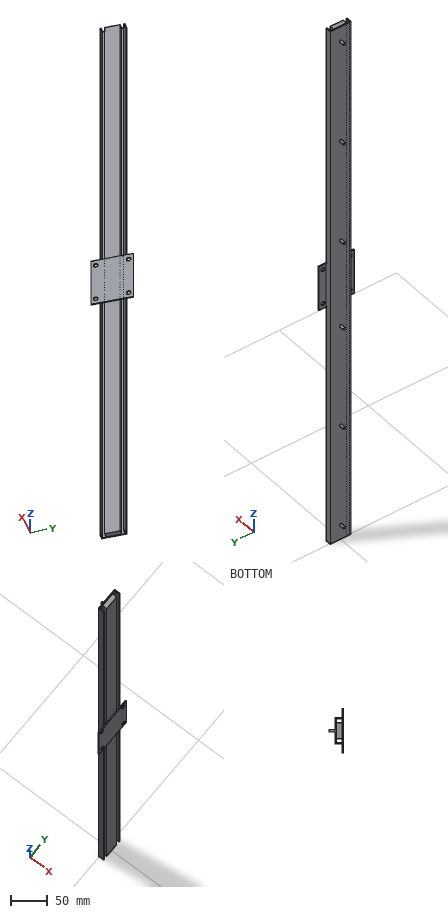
import cadquery as cq

bar_length = 914.0
overall_depth = 19.0
plate_width = 60.0

channel_width = 36.0
channel_depth = 9.0
channel_wall = 2.0

core_width = 22.0
plate_height = 78.0
plate_center_z = -1.0
plate_thickness = 2.0
plate_hole_diameter = 6.0
plate_hole_spacing_y = 47.0
plate_hole_spacing_z = 60.0

pin_diameter = 4.0
pin_pitch = 177.0
pin_middle_gap = 153.0
pins_per_half = 3

plate_back_x = overall_depth / 2
channel_back_x = plate_back_x - plate_thickness
channel_front_x = channel_back_x - channel_depth
pin_length = overall_depth - plate_thickness - channel_depth
core_depth = channel_depth - channel_wall
core_center_x = channel_back_x - core_depth / 2


def make_channel():
    """Front web with a flange along each long side."""
    channel = cq.Workplane("XY").box(channel_depth, channel_width, bar_length)
    channel = channel.translate((channel_front_x + channel_depth / 2, 0, 0))
    inner_width = channel_width - 2 * channel_wall
    inside = cq.Workplane("XY").box(core_depth, inner_width, bar_length)
    return channel.cut(inside.translate((core_center_x, 0, 0)))


def make_plate():
    """Mounting plate with a hole through each corner."""
    face = cq.Workplane("YZ").workplane(offset=channel_back_x).center(0, plate_center_z)
    plate = face.rect(plate_width, plate_height).extrude(plate_thickness)
    hole_centers = face.rect(plate_hole_spacing_y, plate_hole_spacing_z, forConstruction=True).vertices()
    holes = hole_centers.circle(plate_hole_diameter / 2).extrude(plate_thickness)
    return plate.cut(holes)


def make_carrier():
    """Core strip resting on the channel web, joined to the mounting plate."""
    core = cq.Workplane("XY").box(core_depth, core_width, bar_length)
    return core.translate((core_center_x, 0, 0)).union(make_plate())


def make_pin(height):
    """Round pin standing on the front face of the channel."""
    pin = cq.Workplane("YZ").workplane(offset=channel_front_x - pin_length)
    return pin.center(0, height).circle(pin_diameter / 2).extrude(pin_length)


channel = make_channel()
carrier = make_carrier()

pins = []
for side in (1, -1):
    for index in range(pins_per_half):
        distance = pin_middle_gap / 2 + index * pin_pitch
        pins.append(make_pin(side * distance))

result = cq.Compound.makeCompound([channel.val(), carrier.val(), *[pin.val() for pin in pins]])